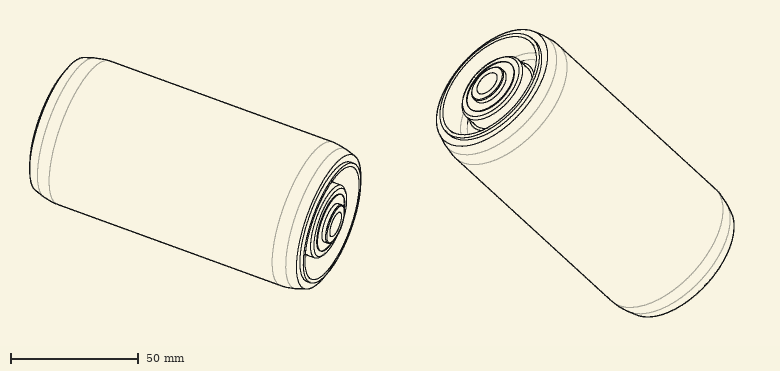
import cadquery as cq
import math

length = 123.5
bore_radius = 5.1

sleeve_radius = 8.0
sleeve_chamfer = 0.4

seal_radius = 11.9
seal_depth = 2.0
hub_radius = 15.2
hub_face_depth = 2.3
hub_chamfer = 1.0

shoulder_radius = 16.3
cone_angle = math.radians(45)
trough_depth = 12.7
trough_round = 1.5
cup_radius = 23.5
lip_radius = 25.0
lip_depth = 1.6

tube_radius = 30.0
tube_depth = 3.1
taper_depth = 7.2
rounding_depth = 12.7
taper_angle = math.radians(17)


def end_half():
    """Revolve the half of the roller on the -X side of the middle plane."""
    half_length = length / 2

    def at(depth, radius):
        return (depth - half_length, radius)

    trough_center_radius = cup_radius - trough_round

    def trough_point(angle):
        return at(
            trough_depth + trough_round * math.cos(angle),
            trough_center_radius - trough_round * math.sin(angle),
        )

    cone_end_radius = trough_center_radius - trough_round * math.sin(cone_angle)
    cone_end_depth = trough_depth + trough_round * math.cos(cone_angle)
    shoulder_depth = cone_end_depth - (cone_end_radius - shoulder_radius) / math.tan(cone_angle)

    round_radius = (rounding_depth - taper_depth) / math.sin(taper_angle)

    def rounding_point(angle):
        return at(
            rounding_depth - round_radius * math.sin(angle),
            tube_radius - round_radius * (1 - math.cos(angle)),
        )

    taper_top_radius = rounding_point(taper_angle)[1]
    tube_end_radius = taper_top_radius - (taper_depth - tube_depth) * math.tan(taper_angle)

    return (
        cq.Workplane("XZ")
        .moveTo(0, bore_radius)
        .lineTo(*at(0, bore_radius))
        .lineTo(*at(0, sleeve_radius - sleeve_chamfer))
        .lineTo(*at(sleeve_chamfer, sleeve_radius))
        .lineTo(*at(seal_depth, sleeve_radius))
        .lineTo(*at(seal_depth, seal_radius))
        .lineTo(*at(hub_face_depth, seal_radius))
        .lineTo(*at(hub_face_depth, hub_radius - hub_chamfer))
        .lineTo(*at(hub_face_depth + hub_chamfer, hub_radius))
        .lineTo(*at(shoulder_depth, hub_radius))
        .lineTo(*at(shoulder_depth, shoulder_radius))
        .lineTo(*trough_point(cone_angle))
        .threePointArc(trough_point(0), trough_point(-math.pi / 2))
        .lineTo(*at(lip_depth, cup_radius))
        .lineTo(*at(lip_depth, lip_radius))
        .lineTo(*at(tube_depth, lip_radius))
        .lineTo(*at(tube_depth, tube_end_radius))
        .lineTo(*rounding_point(taper_angle))
        .threePointArc(rounding_point(taper_angle / 2), rounding_point(0))
        .lineTo(0, tube_radius)
        .close()
        .revolve(360, (0, 0, 0), (1, 0, 0))
    )


left_half = end_half()
right_half = left_half.rotate((0, 0, 0), (0, 0, 1), 180)
result = left_half.union(right_half)